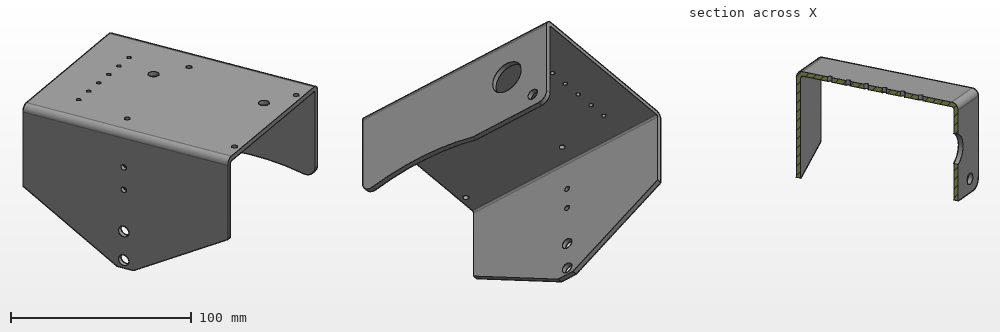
import cadquery as cq
import math

length = 130.0
width = 101.9
height = 85.3
thickness = 3.0
outer_bend_radius = 4.0
inner_bend_radius = outer_bend_radius - thickness

front_side_depth = 50.5
tip_width = 10.4
front_hole_x = 64.0
front_small_depths = (22.2, 36.3)
front_large_depths = (62.4, 80.3)
front_large_diameter = 6.5

back_depth = 58.5
back_corner_radius = 6.0
back_flat_end = 52.0
lobe_depth = 56.8
lobe_tilt = math.radians(12)
back_large_hole = (28.1, -27.5)
back_large_diameter = 20.0
back_small_hole = (9.9, -50.0)
back_small_diameter = 6.5

small_diameter = 3.2
row_diameter = 2.5
row_x = 23.5
row_count = 6
row_pitch = 11.5
pattern_y = -1.2
mount_x = 58.0
mount_spacing_x = 68.0
mount_spacing_y = 70.0
bolt_x = 45.0
bolt_spacing = 70.0
bolt_y = 16.9
bolt_diameter = 6.0


def bent_sheet():
    """Channel with two rounded bends, both walls at full height."""
    inner_width = width - 2 * thickness
    outer = (
        cq.Workplane("XY").box(length, width, height, centered=(False, True, False))
        .translate((0, 0, -height))
        .edges("|X and >Z").fillet(outer_bend_radius)
    )
    inner = (
        cq.Workplane("XY").box(length, inner_width, height, centered=(False, True, False))
        .translate((0, 0, -height - thickness))
        .edges("|X and >Z").fillet(inner_bend_radius)
    )
    return outer.cut(inner)


def front_outline():
    """Front half of the part, bounded by the tapered wall outline."""
    tip_left = (length - tip_width) / 2
    return (
        cq.Workplane("XZ")
        .moveTo(0, 0)
        .lineTo(length, 0)
        .lineTo(length, -front_side_depth)
        .lineTo(tip_left + tip_width, -height)
        .lineTo(tip_left, -height)
        .lineTo(0, -front_side_depth)
        .close()
        .extrude(width / 2)
    )


def back_outline():
    """Back half of the part, bounded by the rounded and arched wall outline."""
    radius = back_corner_radius
    lobe_x = length - radius
    lobe_z = radius - lobe_depth
    corner_z = radius - back_depth

    def lobe_point(angle):
        """Point on the lobe; the angle is measured clockwise from straight down."""
        return lobe_x - radius * math.sin(angle), lobe_z - radius * math.cos(angle)

    diagonal = math.radians(45)
    return (
        cq.Workplane("XZ")
        .moveTo(0, 0)
        .lineTo(length, 0)
        .lineTo(length, lobe_z)
        .threePointArc(lobe_point(-diagonal), lobe_point(lobe_tilt))
        .tangentArcPoint((back_flat_end, -back_depth), relative=False)
        .lineTo(radius, -back_depth)
        .threePointArc(
            (radius - radius * math.sin(diagonal), corner_z - radius * math.cos(diagonal)),
            (0, corner_z),
        )
        .close()
        .extrude(-width / 2)
    )


def top_holes(points, diameter):
    """Cutters through the top plate at (x, y) points."""
    return cq.Workplane("XY").pushPoints(points).circle(diameter / 2).extrude(-2 * thickness)


def front_holes(depths, diameter):
    """Cutters through the front wall, one below the other."""
    points = [(front_hole_x, -depth) for depth in depths]
    return cq.Workplane("XZ").pushPoints(points).circle(diameter / 2).extrude(width)


def back_hole(point, diameter):
    """Cutter through the back wall at an (x, z) point."""
    return cq.Workplane("XZ").pushPoints([point]).circle(diameter / 2).extrude(-width)


row_points = [
    (row_x, pattern_y + (index - (row_count - 1) / 2) * row_pitch)
    for index in range(row_count)
]
mount_points = [
    (x, pattern_y + side * mount_spacing_y / 2)
    for x in (mount_x, mount_x + mount_spacing_x)
    for side in (-1, 1)
]
bolt_points = [(x, bolt_y) for x in (bolt_x, bolt_x + bolt_spacing)]

cutters = [
    top_holes(row_points, row_diameter),
    top_holes(mount_points, small_diameter),
    top_holes(bolt_points, bolt_diameter),
    front_holes(front_small_depths, small_diameter),
    front_holes(front_large_depths, front_large_diameter),
    back_hole(back_large_hole, back_large_diameter),
    back_hole(back_small_hole, back_small_diameter),
]

result = bent_sheet().intersect(front_outline().union(back_outline()))
for cutter in cutters:
    result = result.cut(cutter)